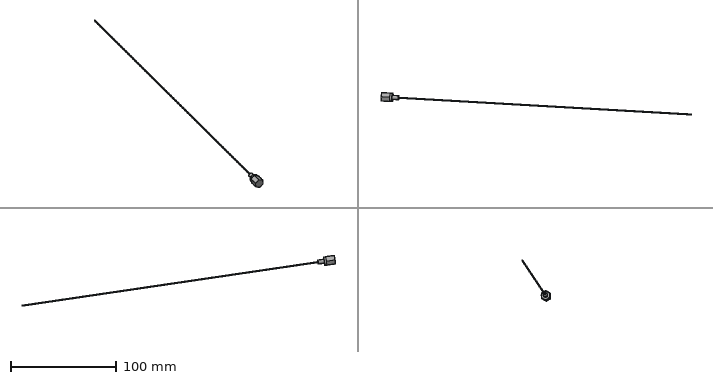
import cadquery as cq
import math

AXIS_YAW = math.radians(-25.3)
AXIS_PITCH = math.radians(9.0)

NEEDLE_DIAMETER = 1.0
NEEDLE_EXPOSED_LENGTH = 284.5

NOSE_DIAMETER = 4.0
NOSE_LENGTH = 6.0
COLLAR_LENGTH = 2.0
HEX_ACROSS_FLATS = 8.0
COLLAR_DIAMETER = HEX_ACROSS_FLATS
HEX_LENGTH = 8.5

SOCKET_DEPTH = NOSE_LENGTH
HEX_ACROSS_CORNERS = HEX_ACROSS_FLATS / math.cos(math.pi / 6)

axis = cq.Vector(
    math.cos(AXIS_PITCH) * math.cos(AXIS_YAW),
    math.cos(AXIS_PITCH) * math.sin(AXIS_YAW),
    math.sin(AXIS_PITCH),
)
sideways = cq.Vector(-math.sin(AXIS_YAW), math.cos(AXIS_YAW), 0)
upward = axis.cross(sideways)


def station(distance):
    """Workplane square to the axis, at a distance from the nose's front face."""
    return cq.Workplane(cq.Plane(origin=axis * distance, xDir=upward, normal=axis))


def make_needle():
    length = NEEDLE_EXPOSED_LENGTH + SOCKET_DEPTH
    return station(-NEEDLE_EXPOSED_LENGTH).circle(NEEDLE_DIAMETER / 2).extrude(length)


def make_hub():
    nose = station(0).circle(NOSE_DIAMETER / 2).extrude(NOSE_LENGTH)
    collar = station(NOSE_LENGTH).circle(COLLAR_DIAMETER / 2).extrude(COLLAR_LENGTH)
    hexagon = station(NOSE_LENGTH + COLLAR_LENGTH).polygon(6, HEX_ACROSS_CORNERS).extrude(HEX_LENGTH)
    socket = station(0).circle(NEEDLE_DIAMETER / 2).extrude(SOCKET_DEPTH)
    return nose.union(collar).union(hexagon).cut(socket)


needle = make_needle()
hub = make_hub()

result = cq.Compound.makeCompound([needle.val(), hub.val()])